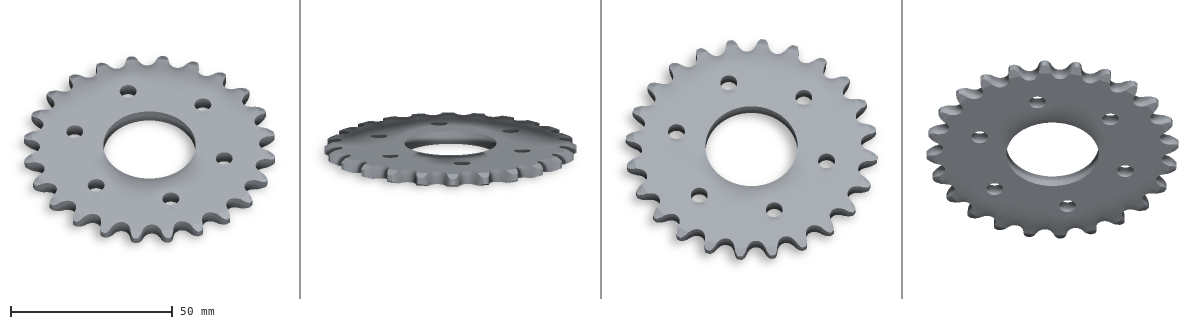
import cadquery as cq
import math

INCH = 25.4
teeth = 24
pitch = 0.375 * INCH
roller_diameter = 0.200 * INCH
thickness = 0.160 * INCH
bore_diameter = 1.125 * INCH

bolt_count = 6
bolt_circle_diameter = 1.875 * INCH
bolt_hole_diameter = 0.206 * INCH

half_step = math.pi / teeth
pitch_radius = pitch / (2 * math.sin(half_step))
tip_factor = 0.6
tip_radius = pitch * (tip_factor + 1 / math.tan(half_step)) / 2
tip_thickness = thickness / 2

roller_clearance = 0.0015 * INCH
seating_radius = 0.50025 * roller_diameter + roller_clearance
seating_angle = math.radians(35 + 60 / teeth)
working_angle = math.radians(18 - 56 / teeth)
working_center_distance = 0.8 * roller_diameter
working_radius = working_center_distance + seating_radius
topping_center_distance = 1.4 * roller_diameter
topping_angle = math.radians(17 - 64 / teeth)
topping_radius = (
    working_center_distance * math.cos(working_angle)
    + topping_center_distance * math.cos(topping_angle)
    - working_radius
)


def polar(center, radius, angle):
    """Point at a radius and angle from a center."""
    return (center[0] + radius * math.cos(angle), center[1] + radius * math.sin(angle))


def rotate(point, angle):
    """Point turned about the sprocket axis."""
    x, y = point
    return (
        x * math.cos(angle) - y * math.sin(angle),
        x * math.sin(angle) + y * math.cos(angle),
    )


def mirror(point):
    """Point reflected across the centerline of the tooth gap at the top."""
    return (-point[0], point[1])


def left_flank():
    """Points up the left side of the top gap, from the seating arc to the tooth tip."""
    roller_center = (0, pitch_radius)
    working_center = polar(roller_center, working_center_distance, seating_angle)
    topping_center = polar(roller_center, topping_center_distance, math.pi + half_step)
    flank_angle = seating_angle - working_angle

    seat_end = polar(roller_center, seating_radius, math.pi + seating_angle)
    working_mid = polar(working_center, working_radius, math.pi + seating_angle - working_angle / 2)
    working_end = polar(working_center, working_radius, math.pi + flank_angle)
    topping_start = polar(topping_center, topping_radius, flank_angle)

    tooth_direction = math.pi / 2 + half_step
    center_height = rotate(topping_center, -tooth_direction)[0]
    tip_angle = tooth_direction - math.acos((tip_radius - center_height) / topping_radius)
    topping_mid = polar(topping_center, topping_radius, (flank_angle + tip_angle) / 2)
    tip = polar(topping_center, topping_radius, tip_angle)
    return seat_end, working_mid, working_end, topping_start, topping_mid, tip


def toothed_plate():
    """Plate with the full ring of teeth, centered on the XY plane."""
    left = left_flank()
    right = [mirror(point) for point in left]
    seat_bottom = (0, pitch_radius - seating_radius)
    outline = cq.Workplane("XY").workplane(offset=-thickness / 2).moveTo(*left[-1])
    for index in range(teeth):
        turn = -2 * half_step * index

        seat_end, working_mid, working_end, topping_start, topping_mid, _ = [rotate(p, turn) for p in left]
        outline = outline.threePointArc(topping_mid, topping_start)
        outline = outline.lineTo(*working_end)
        outline = outline.threePointArc(working_mid, seat_end)

        seat_end, working_mid, working_end, topping_start, topping_mid, tip = [rotate(p, turn) for p in right]
        outline = outline.threePointArc(rotate(seat_bottom, turn), seat_end)
        outline = outline.threePointArc(working_mid, working_end)
        outline = outline.lineTo(*topping_start)
        outline = outline.threePointArc(topping_mid, tip)

        next_tip = rotate(left[-1], turn - 2 * half_step)
        outline = outline.lineTo(*next_tip)
    return outline.close().extrude(thickness)


def tip_bevels():
    """Cutter for the flat bevels on both faces of every tooth."""
    bevel_height = (thickness - tip_thickness) / 2
    wedge_width = pitch / 2
    lower_wedge = (
        cq.Workplane("XZ")
        .moveTo(pitch_radius, -thickness / 2)
        .lineTo(tip_radius, -thickness / 2)
        .lineTo(tip_radius, -thickness / 2 + bevel_height)
        .close()
        .extrude(wedge_width / 2, both=True)
    )
    wedges = lower_wedge.add(lower_wedge.mirror("XY")).combine()
    cutter = cq.Workplane("XY")
    for index in range(teeth):
        turn = math.degrees(half_step * (2 * index + 1))
        cutter = cutter.add(wedges.rotate((0, 0, 0), (0, 0, 1), turn))
    return cutter.combine()


def round_holes():
    """Cutter for the center bore and the bolt holes."""
    plane = cq.Workplane("XY").workplane(offset=-thickness / 2)
    bore = plane.circle(bore_diameter / 2).extrude(thickness)
    bolts = (
        plane.polarArray(bolt_circle_diameter / 2, 0, 360, bolt_count)
        .circle(bolt_hole_diameter / 2)
        .extrude(thickness)
    )
    return bore.union(bolts)


result = toothed_plate().cut(tip_bevels()).cut(round_holes())